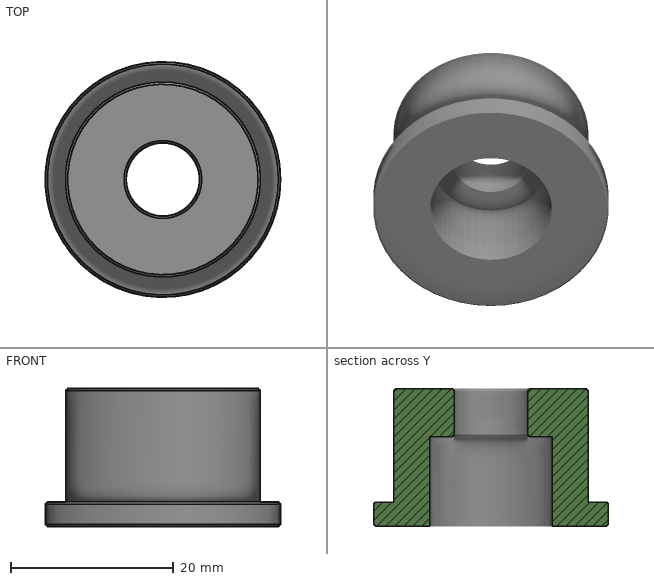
import cadquery as cq

flange_diameter = 29.0
body_diameter = 24.0
height = 17.0
flange_thickness = 3.05
edge_chamfer = 0.3

bore_diameter = 9.0
relief_diameter = 15.0
bore_length = 5.95


def chamfered_disc(diameter, thickness):
    """Disc standing on Z = 0 with both rims chamfered."""
    disc = cq.Workplane("XY").circle(diameter / 2).extrude(thickness)
    return disc.edges("%CIRCLE").chamfer(edge_chamfer)


def body():
    """Plain cylinder of full height with a chamfered top rim."""
    cylinder = cq.Workplane("XY").circle(body_diameter / 2).extrude(height)
    return cylinder.faces(">Z").edges().chamfer(edge_chamfer)


def stepped_bore():
    """Cutter for the through bore, its chamfered ends and the wider relief below."""
    bore_radius = bore_diameter / 2
    relief_radius = relief_diameter / 2
    shoulder_z = height - bore_length
    profile = [
        (0, 0),
        (relief_radius, 0),
        (relief_radius, shoulder_z),
        (bore_radius + edge_chamfer, shoulder_z),
        (bore_radius, shoulder_z + edge_chamfer),
        (bore_radius, height - edge_chamfer),
        (bore_radius + edge_chamfer, height),
        (0, height),
    ]
    outline = cq.Workplane("XZ").polyline(profile).close()
    return outline.revolve(360, (0, 0, 0), (0, 1, 0))


flange = chamfered_disc(flange_diameter, flange_thickness)
result = flange.union(body()).cut(stepped_bore())